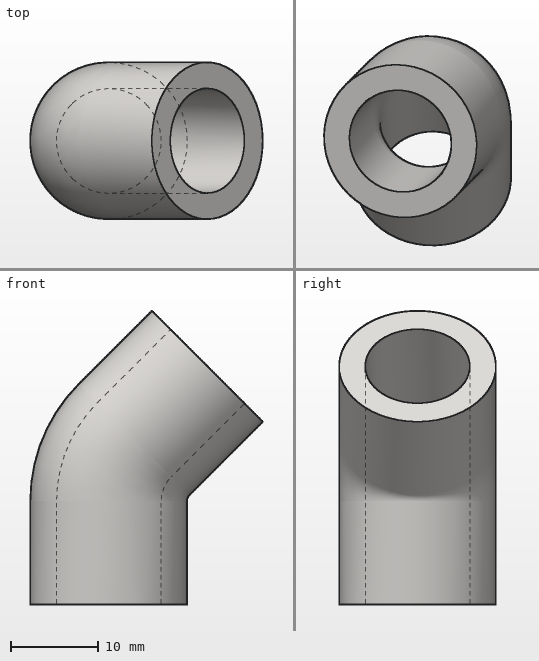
import cadquery as cq
import math

outer_diameter = 18.0
bore_diameter = 12.0
leg_length = 11.85
bend_radius = 10.0
bend_angle = 45

angle = math.radians(bend_angle)


def bend_point(turn):
    """Point on the centreline arc after turning through the given angle."""
    x = bend_radius * (1 - math.cos(turn))
    z = leg_length + bend_radius * math.sin(turn)
    return (x, z)


bend_end = bend_point(angle)
outlet = (
    bend_end[0] + leg_length * math.sin(angle),
    bend_end[1] + leg_length * math.cos(angle),
)
centreline = (
    cq.Workplane("XZ")
    .moveTo(0, 0)
    .lineTo(0, leg_length)
    .threePointArc(bend_point(angle / 2), bend_end)
    .lineTo(*outlet)
    .wire()
)


def swept_round(diameter):
    """Solid round bar following the elbow centreline."""
    return cq.Workplane("XY").circle(diameter / 2).sweep(centreline)


result = swept_round(outer_diameter).cut(swept_round(bore_diameter))